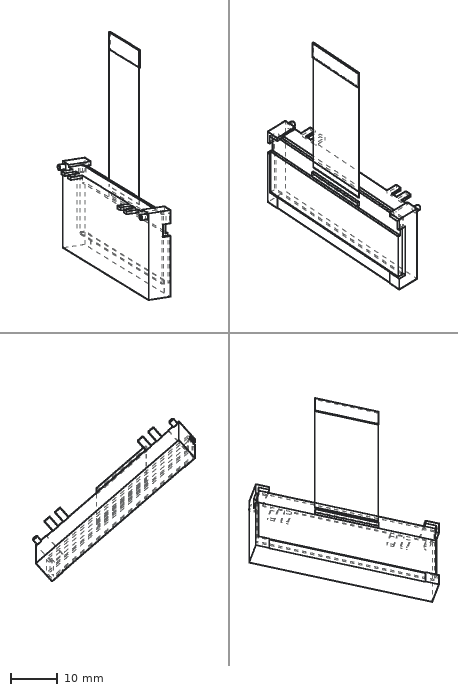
import cadquery as cq


width = 41.3
depth = 5.35
height = 19.75
end_width = 3.05
saddle_drop = 0.5
ledge_setback = 0.1
side_wall = 0.65
front_wall = 3.5
cap_thickness = 0.9
right_window_height = 2.9
saddle_height = height - saddle_drop
inner_width = width - 2 * end_width

pocket_width = width - 2 * side_wall
pocket_bottom = end_width
pocket_top = height - cap_thickness
window_top = height - end_width

peg_diameter = 1.25
peg_length = 1.45
peg_chamfer = 0.1
peg_inset = 1.0

tab_width = 1.5
tab_length = 2.8
tab_thickness = 0.7
tab_inset = 4.9
tab_pitch = 3.05

panel_front = 3.9
substrate_back = 4.45
cover_back = 5.0
cover_top = 14.35
chip_bottom = 15.1
chip_height = 1.0

cable_width = 14.35
cable_thickness = 0.1
cable_bottom = 17.3
cable_top = 52.35
stiffener_height = 4.0
stiffener_thickness = 0.25


def block(x0, x1, y0, y1, z0, z1):
    """Box between opposite corners."""
    return cq.Workplane("XY").box(x1 - x0, y1 - y0, z1 - z0, centered=False).translate((x0, y0, z0))


def centered_block(x_size, y0, y1, z0, z1):
    """Box that is symmetric about the middle of the housing width."""
    middle = width / 2
    return block(middle - x_size / 2, middle + x_size / 2, y0, y1, z0, z1)


def make_peg(x):
    """Chamfered locating peg that stands out of the front face."""
    return (
        cq.Workplane("XZ")
        .center(x, height - peg_inset)
        .circle(peg_diameter / 2)
        .extrude(peg_length)
        .faces("<Y")
        .chamfer(peg_chamfer)
    )


def make_tab(x):
    """Mounting tab flush with the top edge between the end blocks; x is its left side."""
    return block(x, x + tab_width, -tab_length, 0, saddle_height - tab_thickness, saddle_height)


def make_housing():
    body = block(0, width, 0, depth, 0, height)

    body = body.cut(centered_block(inner_width, 0, depth, saddle_height, height))
    body = body.cut(centered_block(inner_width, depth - ledge_setback, depth, 0, pocket_bottom))

    body = body.cut(centered_block(pocket_width, front_wall, depth, pocket_bottom, pocket_top))
    body = body.cut(centered_block(inner_width, front_wall, depth, pocket_top, height))

    body = body.cut(block(0, side_wall, front_wall, depth, pocket_bottom, window_top))
    right_window_bottom = window_top - right_window_height
    body = body.cut(block(width - side_wall, width, front_wall, depth, right_window_bottom, window_top))

    for x in (peg_inset, width - peg_inset):
        body = body.union(make_peg(x))

    right_tab_start = width - tab_inset - tab_width
    for x in (tab_inset, tab_inset + tab_pitch, right_tab_start - tab_pitch, right_tab_start):
        body = body.union(make_tab(x))
    return body


def make_panel():
    """Glass substrate with a cover glass and a driver chip on its back."""
    substrate = centered_block(pocket_width, panel_front, substrate_back, pocket_bottom, pocket_top)
    cover = centered_block(pocket_width, substrate_back, cover_back, pocket_bottom, cover_top)
    chip_top = chip_bottom + chip_height
    chip = centered_block(cable_width, substrate_back, cover_back, chip_bottom, chip_top)
    return substrate.union(cover).union(chip)


def make_cable():
    """Flat cable bonded to the back of the substrate, with a stiffener at its free end."""
    cable_back = substrate_back + cable_thickness
    stiffener_back = cable_back + stiffener_thickness
    strip = centered_block(cable_width, substrate_back, cable_back, cable_bottom, cable_top)
    stiffener_bottom = cable_top - stiffener_height
    stiffener = centered_block(cable_width, cable_back, stiffener_back, stiffener_bottom, cable_top)
    return strip.union(stiffener)


housing = make_housing()
panel = make_panel()
cable = make_cable()

result = cq.Compound.makeCompound([housing.val(), panel.val(), cable.val()])